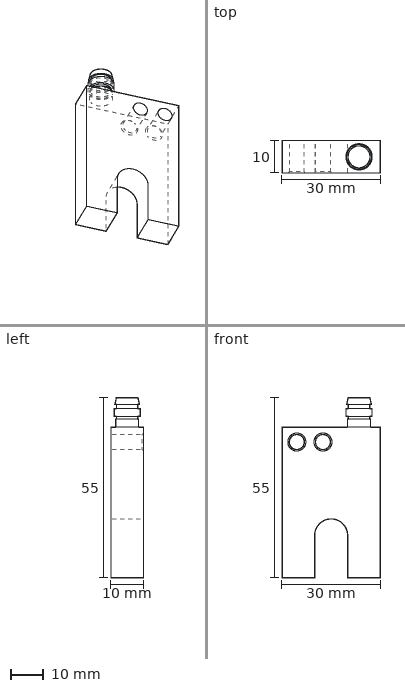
import cadquery as cq

total_height = 55.0
width = 30.0
depth = 10.0
body_height = 46.0

slot_width = 10.0
slot_height = 18.0

hole_diameter = 4.5
hole_rim_diameter = 5.5
hole_inset = 4.5
hole_spacing = 8.0

plug_x = 23.5
base_radius = 3.5
neck_radius = 3.3
collar_radius = 4.0
tip_lower_radius = 3.8
tip_upper_radius = 3.35
base_top = 2.5
collar_bottom = 3.3
collar_top = 5.65
tip_bottom = 7.0
plug_height = total_height - body_height


def make_housing():
    return cq.Workplane("XY").box(width, depth, body_height, centered=(False, True, False))


def make_slot():
    """Straight-sided slot with a half-round top, open at the bottom."""
    slot_radius = slot_width / 2
    left = width / 2 - slot_radius
    right = width / 2 + slot_radius
    arc_start = slot_height - slot_radius
    return (
        cq.Workplane("XZ")
        .moveTo(left, 0)
        .lineTo(left, arc_start)
        .threePointArc((width / 2, slot_height), (right, arc_start))
        .lineTo(right, 0)
        .close()
        .extrude(depth / 2, both=True)
    )


def make_mounting_hole(x):
    """Through hole with a 45 degree chamfer at the front face."""
    hole_radius = hole_diameter / 2
    rim_radius = hole_rim_diameter / 2
    chamfer = rim_radius - hole_radius
    front = -depth / 2
    profile = [
        (0, front),
        (rim_radius, front),
        (hole_radius, front + chamfer),
        (hole_radius, depth / 2),
        (0, depth / 2),
    ]
    hole = cq.Workplane("XY").polyline(profile).close().revolve(360, (0, 0), (0, 1))
    return hole.translate((x, 0, body_height - hole_inset))


def make_plug():
    """Stepped connector with two necks, a collar and a tapered tip."""
    profile = [
        (0, 0),
        (base_radius, 0),
        (base_radius, base_top),
        (neck_radius, base_top),
        (neck_radius, collar_bottom),
        (collar_radius, collar_bottom),
        (collar_radius, collar_top),
        (neck_radius, collar_top),
        (neck_radius, tip_bottom),
        (tip_lower_radius, tip_bottom),
        (tip_upper_radius, plug_height),
        (0, plug_height),
    ]
    plug = cq.Workplane("XZ").polyline(profile).close().revolve(360, (0, 0), (0, 1))
    return plug.translate((plug_x, 0, body_height))


result = make_housing().cut(make_slot())
for hole_x in (hole_inset, hole_inset + hole_spacing):
    result = result.cut(make_mounting_hole(hole_x))
result = result.union(make_plug())